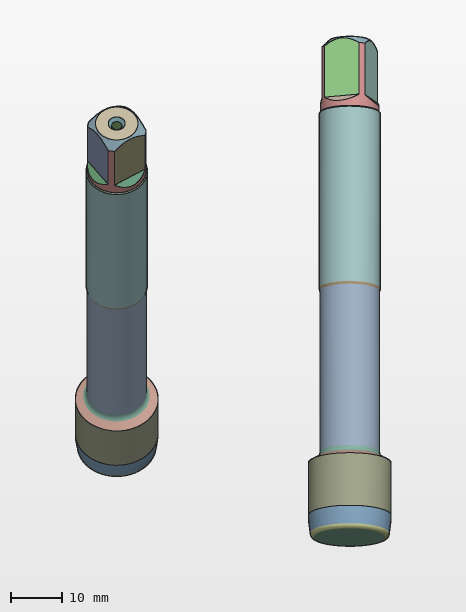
import cadquery as cq
import math

total_height = 100.0
cap_height = 4.4
head_top = 15.0
neck_top = 49.6
neck_taper_height = 0.5
collar_height = 85.4

head_diameter = 16.2
neck_diameter = 11.7
shank_diameter = 12.0
drive_diameter = 11.5

shoulder_angle = 30.0
shoulder_fillet = 1.3

cap_rim_diameter = 15.5
cap_rim_radius = 0.8
cap_bulge = 0.1

square_side = 9.0
square_length = 12.0
drive_end_diameter = 8.3

center_diameter = 2.0
center_mouth_diameter = 3.3
center_depth = 4.0
drill_point_angle = 118.0

head_radius = head_diameter / 2
neck_radius = neck_diameter / 2
shank_radius = shank_diameter / 2
drive_radius = drive_diameter / 2


def make_shaft_blank():
    """Turned outline: head, sloping shoulder, neck, shank and drive end."""
    shoulder_slope = math.tan(math.radians(shoulder_angle))
    shoulder_top = head_top + (head_radius - neck_radius) * shoulder_slope
    collar_chamfer = shank_radius - drive_radius
    end_radius = drive_end_diameter / 2
    end_chamfer = drive_radius - end_radius
    blank = (
        cq.Workplane("XZ")
        .moveTo(0, cap_height)
        .lineTo(head_radius, cap_height)
        .lineTo(head_radius, head_top)
        .lineTo(neck_radius, shoulder_top)
        .lineTo(neck_radius, neck_top)
        .lineTo(shank_radius, neck_top + neck_taper_height)
        .lineTo(shank_radius, collar_height)
        .lineTo(drive_radius, collar_height + collar_chamfer)
        .lineTo(drive_radius, total_height - end_chamfer)
        .lineTo(end_radius, total_height)
        .lineTo(0, total_height)
        .close()
        .revolve(360, (0, 0, 0), (0, 1, 0))
    )
    root = cq.selectors.BoxSelector(
        (-head_radius, -head_radius, shoulder_top - shoulder_fillet / 2),
        (head_radius, head_radius, shoulder_top + shoulder_fillet / 2),
    )
    return blank.edges(root).edges("%CIRCLE").fillet(shoulder_fillet)


def make_flat_cutter():
    """Cuts the flat on the +X side, running out at 45 degrees at its foot."""
    flat_distance = square_side / 2
    flat_bottom = total_height - square_length
    run_out = shank_radius - flat_distance
    return (
        cq.Workplane("XZ")
        .moveTo(flat_distance, total_height)
        .lineTo(flat_distance, flat_bottom)
        .lineTo(shank_radius, flat_bottom - run_out)
        .lineTo(shank_radius, total_height)
        .close()
        .extrude(shank_radius, both=True)
    )


def make_center_hole():
    """Blind drilled hole with a 90 degree mouth and a conical drill point."""
    hole_radius = center_diameter / 2
    mouth_radius = center_mouth_diameter / 2
    mouth_depth = mouth_radius - hole_radius
    point_height = hole_radius / math.tan(math.radians(drill_point_angle / 2))
    hole_bottom = total_height - center_depth
    return (
        cq.Workplane("XZ")
        .moveTo(0, total_height)
        .lineTo(mouth_radius, total_height)
        .lineTo(hole_radius, total_height - mouth_depth)
        .lineTo(hole_radius, hole_bottom)
        .lineTo(0, hole_bottom - point_height)
        .close()
        .revolve(360, (0, 0, 0), (0, 1, 0))
    )


def make_shaft():
    shaft = make_shaft_blank().cut(make_center_hole())
    for angle in (0, 90, 180, 270):
        shaft = shaft.cut(make_flat_cutter().rotate((0, 0, 0), (0, 0, 1), angle))
    return shaft


def make_end_cap():
    """Round cap under the head with a slightly bulging side and a rounded rim."""
    rim_radius = cap_rim_diameter / 2
    rounding_start = rim_radius - cap_rim_radius
    rounding_inset = cap_rim_radius * (1 - math.sqrt(0.5))
    rounding_point = (rim_radius - rounding_inset, rounding_inset)
    bulge_point = (
        (head_radius + rim_radius) / 2 + cap_bulge,
        (cap_height + cap_rim_radius) / 2,
    )
    return (
        cq.Workplane("XZ")
        .lineTo(rounding_start, 0)
        .threePointArc(rounding_point, (rim_radius, cap_rim_radius))
        .threePointArc(bulge_point, (head_radius, cap_height))
        .lineTo(0, cap_height)
        .close()
        .revolve(360, (0, 0, 0), (0, 1, 0))
    )


shaft = make_shaft()
end_cap = make_end_cap()

result = cq.Compound.makeCompound([shaft.val(), end_cap.val()])